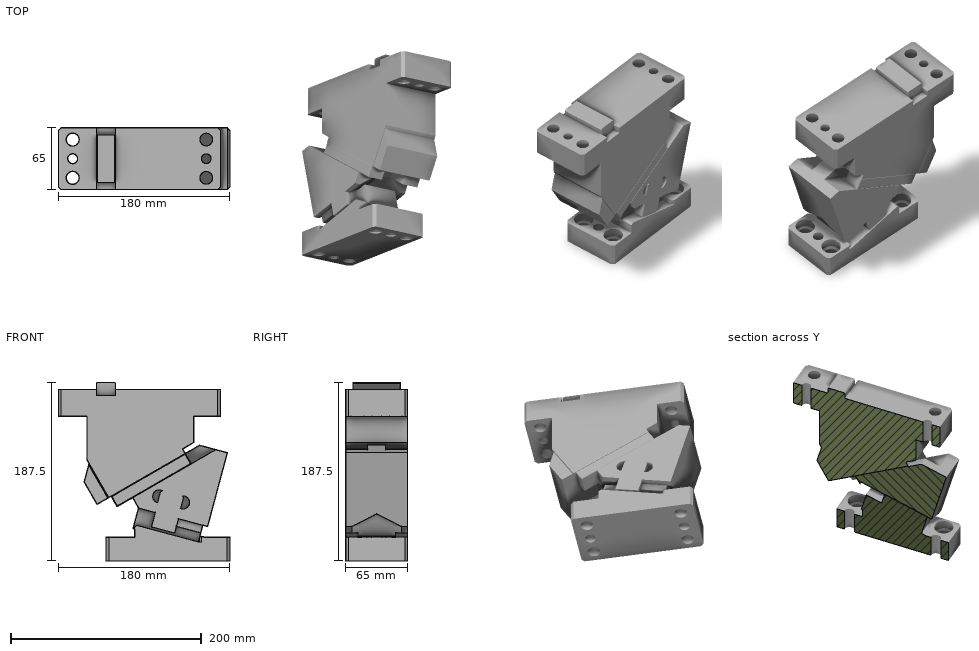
import cadquery as cq
import math

WIDTH = 65.0
HEIGHT = 187.5
CORNER_CHAMFER = 3.0
HOLE_INSET = 15.0
BOLT_OFFSETS = [-20.0, 20.0]
BOLT_DIAMETER = 13.3

BASE_LEFT = 49.9
BASE_RIGHT = 180.0
BASE_THICKNESS = 25.1
RAMP_LEFT = 79.9
PEAK_CHAMFER_WIDTH = 2.5
PEAK_CHAMFER_DROP = 1.9
RAMP_POCKET_CHAMFER = 2.0
COUNTERBORE_DIAMETER = 20.2
COUNTERBORE_DEPTH = 10.0
BASE_DOWEL_DIAMETER = 11.2

BLOCK_LENGTH = 170.0
BLOCK_TOP = 180.2
FLANGE_THICKNESS = 28.3
BLOCK_DOWEL_DIAMETER = 10.1
WEB_LEFT = 30.0
WEB_RIGHT = 142.1
KEY_LEFT = 39.8
KEY_WIDTH = 20.2
KEY_LENGTH = 49.9
KEY_BOTTOM = 173.5
KEY_CHAMFER = 1.3

SLIDE_ANGLE = 30.0
HEEL_X = 52.9
HEEL_Z = 66.5
LEDGE_HEIGHT = 5.5
STRIP_START = 2.8
STRIP_END = 92.6
STRIP_THICKNESS = 12.5
STRIP_CHAMFER = 0.5
STRIP_GAP = 28.1
RIB_WIDTH = 18.8
NOSE_LENGTH = 14.2
NOSE_HEIGHT = 27.2
NOSE_CHAMFER = 1.1

RAMP_ANGLE = 15.0
SLIDER_CORNER_X = 156.5
SLIDER_CORNER_Z = 36.2
SLIDER_HEIGHT = 80.2
SLIDER_LENGTH = 75.2
SLIDER_END = 21.8
FOOT_START = 31.7
FOOT_END = 56.8
FOOT_DEPTH = 15.5
RAMP_DEPTH = 18.0
RAIL_START = 5.2
NECK_WIDTH = 39.4
NECK_DEPTH = 22.3
NECK_RISE = 1.0
STOP_LENGTH = 7.5
STOP_DEPTH = 11.5
HEAD_WIDTH = 52.1
HEAD_DEPTH = 8.2
ROOF_SLOPE = 0.53
HEAD_CLEARANCE = 1.0
NECK_CLEARANCE = 1.5
GROOVE_OVERRUN = 9.4

POCKET_DIAMETER = 13.7
POCKET_DEPTH = 11.2
POCKET_CENTRES = [(105.8, 67.9), (130.7, 61.5)]
POCKET_ISLAND = [(107.0, 72.5), (122.6, 81.5), (131.2, 66.5), (124.5, 41.5), (100.3, 47.5)]


def frame_point(origin, angle, along, up):
    """Turn a position in a tilted frame into global X and Z."""
    turn = math.radians(angle)
    x = origin[0] + along * math.cos(turn) - up * math.sin(turn)
    z = origin[1] + along * math.sin(turn) + up * math.cos(turn)
    return (x, z)


def slide_point(along, up):
    """Position measured up the block underside from its heel, and square to it."""
    return frame_point((HEEL_X, HEEL_Z), SLIDE_ANGLE, along, up)


def ramp_point(back, up):
    """Position measured back up the ramp from the slider corner, and square to the ramp."""
    return frame_point((SLIDER_CORNER_X, SLIDER_CORNER_Z), -RAMP_ANGLE, -back, up)


def prism(points, width, centre=0.0):
    """Extrude an X-Z outline across Y."""
    plane = cq.Workplane("XZ", origin=(0, centre, 0))
    return plane.polyline(points).close().extrude(width / 2, both=True)


def hole_rows(left, right):
    """X of the two hole rows of a flange."""
    return [left + HOLE_INSET, right - HOLE_INSET]


def cylinders(columns, offsets, diameter, bottom, top):
    """Upright cylinders at every column and cross offset."""
    centres = [(x, y) for x in columns for y in offsets]
    plane = cq.Workplane("XY", origin=(0, 0, bottom))
    return plane.pushPoints(centres).circle(diameter / 2).extrude(top - bottom)


def flange(left, right, bottom, top):
    """Mounting plate with chamfered upright corners."""
    middle = (left + right) / 2
    plate = cq.Workplane("XY", origin=(middle, 0, bottom)).rect(right - left, WIDTH).extrude(top - bottom)
    return plate.edges("|Z").chamfer(CORNER_CHAMFER)


def make_block():
    """Upper block with its key, guide strips and stop nose."""
    flange_bottom = BLOCK_TOP - FLANGE_THICKNESS
    body = flange(0, BLOCK_LENGTH, flange_bottom, BLOCK_TOP)
    rows = hole_rows(0, BLOCK_LENGTH)
    body = body.cut(cylinders(rows, BOLT_OFFSETS, BOLT_DIAMETER, flange_bottom, BLOCK_TOP))
    body = body.cut(cylinders(rows, [0], BLOCK_DOWEL_DIAMETER, flange_bottom, BLOCK_TOP))

    slope = math.tan(math.radians(SLIDE_ANGLE))
    ledge = slide_point(STRIP_END, LEDGE_HEIGHT)
    web = [
        (WEB_LEFT, flange_bottom),
        (WEB_LEFT, HEEL_Z + (HEEL_X - WEB_LEFT) / slope),
        (HEEL_X, HEEL_Z),
        slide_point(STRIP_END, 0),
        ledge,
        (WEB_RIGHT, ledge[1] + (WEB_RIGHT - ledge[0]) * slope),
        (WEB_RIGHT, flange_bottom),
    ]
    body = body.union(prism(web, WIDTH))
    for part in [*guide_strips(), make_nose()]:
        body = body.union(part)
    return add_key(body)


def add_key(body):
    """Cross slot in the top with a shorter key standing in it."""
    slot_height = BLOCK_TOP - KEY_BOTTOM
    centre = KEY_LEFT + KEY_WIDTH / 2
    seat = cq.Workplane("XY", origin=(centre, 0, KEY_BOTTOM))
    key = seat.rect(KEY_WIDTH, KEY_LENGTH).extrude(HEIGHT - KEY_BOTTOM)
    key = key.faces(">Z").edges("|Y").chamfer(KEY_CHAMFER)
    return body.cut(seat.rect(KEY_WIDTH, WIDTH).extrude(slot_height)).union(key)


def guide_strips():
    """Two strips under the block, one on each side of the slider rib."""
    outline = [
        slide_point(STRIP_START, 0),
        slide_point(STRIP_END, 0),
        slide_point(STRIP_END, -STRIP_THICKNESS),
        slide_point(STRIP_START, -STRIP_THICKNESS),
    ]
    strip_width = (WIDTH - STRIP_GAP) / 2
    strips = []
    for side, outer_face in [(-1, "<Y"), (1, ">Y")]:
        strip = prism(outline, strip_width, side * (STRIP_GAP + strip_width) / 2)
        strips.append(strip.faces(outer_face).chamfer(STRIP_CHAMFER))
    return strips


def make_nose():
    """Stop nose on the left slope of the block, side edges of its seat chamfered."""
    lean = math.tan(math.radians(2 * SLIDE_ANGLE - RAMP_ANGLE))
    outline = [
        slide_point(0, 0),
        slide_point(0, NOSE_HEIGHT + NOSE_LENGTH / lean),
        slide_point(-NOSE_LENGTH, NOSE_HEIGHT),
        slide_point(-NOSE_LENGTH, 0),
    ]
    seat_x = (outline[0][0] + outline[1][0]) / 2
    seat_z = (outline[0][1] + outline[1][1]) / 2
    nose = prism(outline, WIDTH)
    for side in (-1, 1):
        edge_centre = (seat_x, side * WIDTH / 2, seat_z)
        nose = nose.edges(cq.selectors.NearestToPointSelector(edge_centre)).chamfer(NOSE_CHAMFER)
    return nose


def rail_section(start, end, bottom, top, width):
    """Straight bar along the ramp, between two distances and two heights."""
    points = [
        ramp_point(start, bottom),
        ramp_point(start, top),
        ramp_point(end, top),
        ramp_point(end, bottom),
    ]
    return prism(points, width)


def rail_roof(start, end, width):
    """Gable running up the ramp, its eaves level with the slider underside."""
    turn = math.radians(RAMP_ANGLE)
    x, z = ramp_point(start, 0)
    up_ramp = (-math.cos(turn), 0, math.sin(turn))
    plane = cq.Plane(origin=(x, 0, z), xDir=(0, -1, 0), normal=up_ramp)
    gable = [(-width / 2, 0), (width / 2, 0), (0, ROOF_SLOPE * width / 2)]
    return cq.Workplane(plane).polyline(gable).close().extrude(end - start)


def make_slider():
    """Slider with a top rib, a slotted foot hooked under the rail head, and a roofed groove."""
    top = SLIDER_HEIGHT
    left_end = [slide_point(SLIDER_END, -STRIP_THICKNESS), ramp_point(SLIDER_LENGTH, 0)]
    right_side = [ramp_point(0, 0), ramp_point(0, top)]
    full = left_end + right_side + [top_edge_point(-STRIP_THICKNESS)]
    rib = [
        slide_point(SLIDER_END, -STRIP_THICKNESS),
        top_edge_point(-STRIP_THICKNESS),
        top_edge_point(0),
        slide_point(SLIDER_END, 0),
    ]
    body = prism(full, WIDTH).union(prism(rib, RIB_WIDTH))
    body = body.union(rail_section(FOOT_START, FOOT_END, -FOOT_DEPTH, 0, WIDTH))
    head_slot = HEAD_WIDTH + 2 * HEAD_CLEARANCE
    neck_slot = NECK_WIDTH + 2 * NECK_CLEARANCE
    body = body.cut(rail_section(FOOT_START, FOOT_END, -HEAD_DEPTH, 0, head_slot))
    body = body.cut(rail_section(FOOT_START, FOOT_END, -FOOT_DEPTH, 0, neck_slot))
    body = body.cut(rail_roof(-GROOVE_OVERRUN, SLIDER_LENGTH + GROOVE_OVERRUN, HEAD_WIDTH))
    return body.cut(side_pockets())


def top_edge_point(up):
    """Point on the slider's upper right face at a height in the upper frame."""
    corner = ramp_point(0, SLIDER_HEIGHT)
    turn = math.radians(SLIDE_ANGLE)
    corner_up = (corner[1] - HEEL_Z) * math.cos(turn) - (corner[0] - HEEL_X) * math.sin(turn)
    back = (up - corner_up) / math.sin(math.radians(SLIDE_ANGLE + RAMP_ANGLE))
    return ramp_point(back, SLIDER_HEIGHT)


def side_pockets():
    """Two round pockets in the -Y side, cut off straight by the island between them."""
    plane = cq.Workplane("XZ", origin=(0, POCKET_DEPTH - WIDTH / 2, 0))
    rounds = plane.pushPoints(POCKET_CENTRES).circle(POCKET_DIAMETER / 2).extrude(POCKET_DEPTH)
    return rounds.cut(plane.polyline(POCKET_ISLAND).close().extrude(POCKET_DEPTH))


def make_base():
    """Base plate with a ramp and the rail that carries the slider."""
    body = flange(BASE_LEFT, BASE_RIGHT, 0, BASE_THICKNESS)
    slope = math.tan(math.radians(RAMP_ANGLE))
    pocket_corner = ramp_point(RAIL_START, -RAMP_DEPTH)
    shoulder = pocket_corner[1] + (pocket_corner[0] - RAMP_LEFT - PEAK_CHAMFER_WIDTH) * slope
    ramp_end = pocket_corner[0] - (BASE_THICKNESS - pocket_corner[1]) / slope
    ramp = [
        (RAMP_LEFT, 0),
        (RAMP_LEFT, shoulder - PEAK_CHAMFER_DROP),
        (RAMP_LEFT + PEAK_CHAMFER_WIDTH, shoulder),
        (ramp_end, BASE_THICKNESS),
        (ramp_end, 0),
    ]
    body = body.union(prism(ramp, WIDTH))
    body = body.cut(ramp_pocket(pocket_corner, ramp_end))

    rows = hole_rows(BASE_LEFT, BASE_RIGHT)
    body = body.cut(cylinders(rows, BOLT_OFFSETS, BOLT_DIAMETER, 0, BASE_THICKNESS))
    body = body.cut(cylinders(rows, [0], BASE_DOWEL_DIAMETER, 0, BASE_THICKNESS))
    bore_floor = BASE_THICKNESS - COUNTERBORE_DEPTH
    body = body.cut(cylinders(rows, BOLT_OFFSETS, COUNTERBORE_DIAMETER, bore_floor, BASE_THICKNESS))
    return body.union(make_rail())


def ramp_pocket(corner, ramp_end):
    """Sloped pocket below the plate top where the ramp runs down to its end wall."""
    wall_top_x = corner[0] + (BASE_THICKNESS - corner[1]) * math.tan(math.radians(RAMP_ANGLE))
    pocket = prism([(ramp_end, BASE_THICKNESS), corner, (wall_top_x, BASE_THICKNESS)], WIDTH)
    half = WIDTH / 2
    for side in (-1, 1):
        corner_cut = [
            (corner[0], side * (half - RAMP_POCKET_CHAMFER)),
            (wall_top_x, side * (half - RAMP_POCKET_CHAMFER)),
            (wall_top_x + RAMP_POCKET_CHAMFER, side * half),
            (corner[0], side * half),
        ]
        floor = cq.Workplane("XY", origin=(0, 0, corner[1]))
        pocket = pocket.union(floor.polyline(corner_cut).close().extrude(BASE_THICKNESS - corner[1]))
    return pocket


def make_rail():
    """Headed rail along the ramp, with a bare neck at the left and a low stop at the right."""
    neck = rail_section(RAIL_START, SLIDER_LENGTH, -NECK_DEPTH, NECK_RISE, NECK_WIDTH)
    head = rail_section(RAIL_START, FOOT_END, -HEAD_DEPTH, 0, HEAD_WIDTH)
    stop = rail_section(RAIL_START - STOP_LENGTH, RAIL_START, -NECK_DEPTH, -STOP_DEPTH, NECK_WIDTH)
    return neck.union(head).union(rail_roof(RAIL_START, FOOT_END, HEAD_WIDTH)).union(stop)


block = make_block()
slider = make_slider()
base = make_base()
result = cq.Compound.makeCompound([block.solids().val(), slider.solids().val(), base.solids().val()])